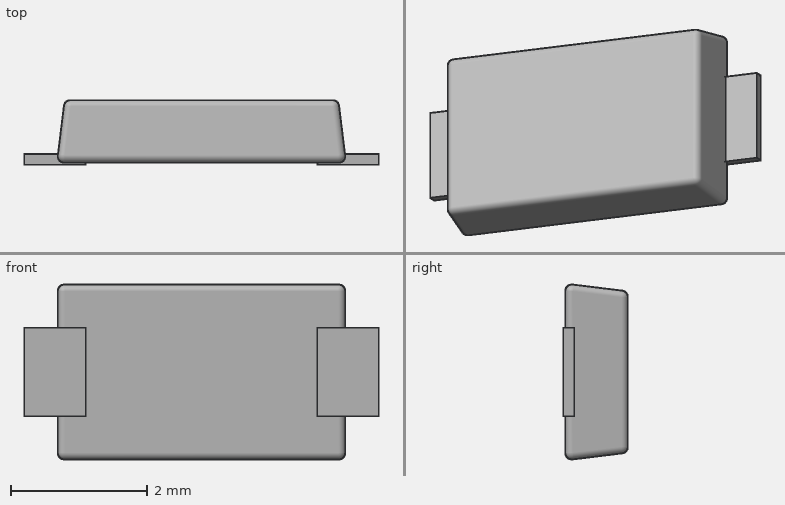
import cadquery as cq
import math

overall_length = 5.2
overall_depth = 0.95
housing_width = 2.57

housing_length = 4.215
lead_standoff = 0.03
draft_angle = 7.0
edge_radius = 0.1

lead_length = 0.9
lead_thickness = 0.16
lead_width = 1.3

contact_y = -overall_depth / 2
housing_front_y = contact_y + lead_standoff
housing_depth = overall_depth - lead_standoff

draft = math.radians(draft_angle)
edge_trim = edge_radius * (math.tan(draft) + 1 / math.cos(draft) - 1)


def make_lead(side):
    """Flat lead at the end of the part given by side: -1 for -X, +1 for +X."""
    center_x = side * (overall_length - lead_length) / 2
    center_y = contact_y + lead_thickness / 2
    return cq.Workplane("XY").box(lead_length, lead_thickness, lead_width).translate((center_x, center_y, 0))


def make_housing(leads):
    """Drafted block with all edges rounded and a recess for each lead."""
    front_plane = cq.Plane(origin=(0, housing_front_y, 0), xDir=(1, 0, 0), normal=(0, 1, 0))
    block = (
        cq.Workplane(front_plane)
        .rect(housing_length + 2 * edge_trim, housing_width + 2 * edge_trim)
        .extrude(housing_depth, taper=draft_angle)
        .edges()
        .fillet(edge_radius)
    )
    for lead in leads:
        block = block.cut(lead)
    return block


leads = [make_lead(side) for side in (-1, 1)]
housing = make_housing(leads)

result = cq.Compound.makeCompound([housing.solids().val(), *[lead.val() for lead in leads]])